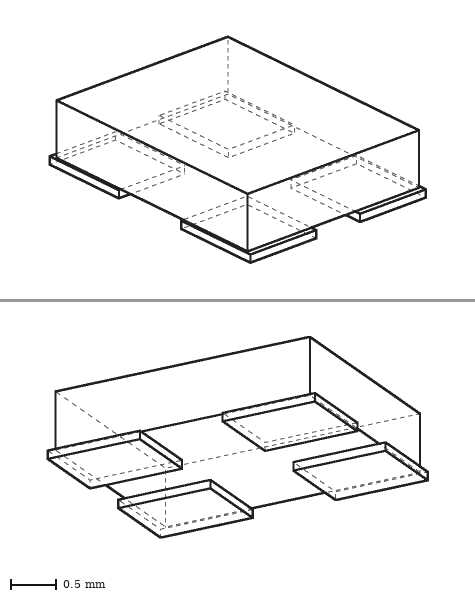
import cadquery as cq

overall_length = 3.36
overall_width = 2.56
overall_height = 0.8
housing_length = 3.2
housing_width = 2.5
pad_length = 1.16
pad_width = 0.96
pad_thickness = 0.1

housing_height = overall_height - pad_thickness
pad_center_x = (overall_length - pad_length) / 2
pad_center_y = (overall_width - pad_width) / 2


def make_housing():
    """Rectangular block resting on top of the pads."""
    block = cq.Workplane("XY").box(
        housing_length, housing_width, housing_height, centered=(True, True, False)
    )
    return block.translate((0, 0, pad_thickness))


def make_pad(center_x, center_y):
    """Flat contact pad with its underside at Z = 0."""
    plate = cq.Workplane("XY").box(
        pad_length, pad_width, pad_thickness, centered=(True, True, False)
    )
    return plate.translate((center_x, center_y, 0))


housing = make_housing()

pads = []
for side_x in (-1, 1):
    for side_y in (-1, 1):
        pads.append(make_pad(side_x * pad_center_x, side_y * pad_center_y))

result = cq.Compound.makeCompound([housing.val(), *[pad.val() for pad in pads]])